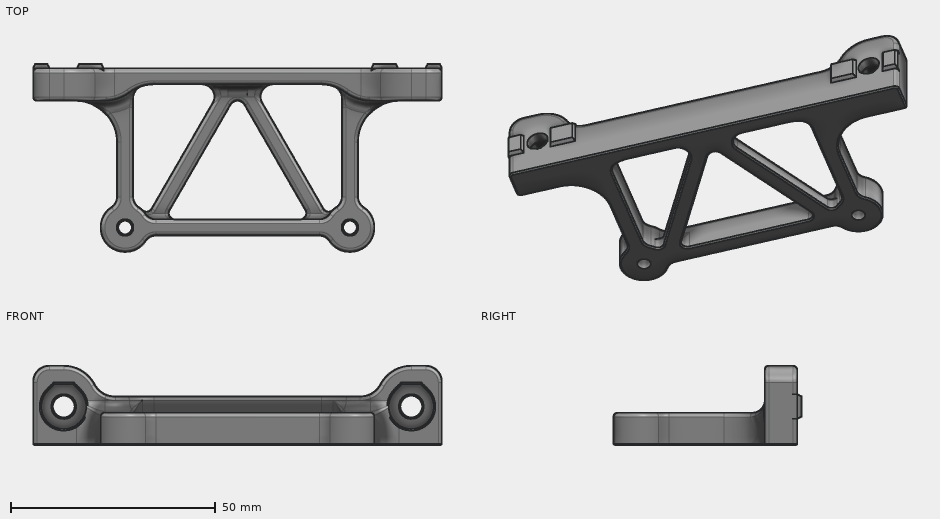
import cadquery as cq
import math

half_length = 50.0
beam_height = 12.0
beam_depth = 4.0
frame_height = 8.0
strut_height = 4.0
member_width = 4.0
half_member = member_width / 2
corner_reach = 0.5
high = 30.0

lug_height = 19.5
lug_depth = 8.0
lug_corner_radius = 4.0
lug_shoulder_radius = 8.5
lug_foot_radius = 5.5
lug_hole_x = 42.5
lug_hole_z = 9.5
lug_hole_diameter = 5.3
head_pocket_radius = 5.5
head_pocket_depth = 5.0
depth_step_radius = 10.0
depth_step_end_x = 20.5
depth_step_turn = math.acos(1 - (lug_depth - beam_depth) / (2 * depth_step_radius))
depth_step_run = depth_step_radius * math.sin(depth_step_turn)

boss_x = 27.5
boss_y = -39.0
boss_radius = 6.0
boss_hole_diameter = 3.3
boss_blend_radius = 3.0
leg_flare_radius = 10.0
leg_inner_x = boss_x - half_member
leg_outer_x = boss_x + half_member
bar_inner_y = boss_y + half_member
window_corner_radius = 3.0

strut_angle = math.radians(60)
strut_apex_y = -beam_depth / 2
strut_apex_radius = 2.0
strut_toe_radius = 1.5

key_spans = ((50.0, 46.0), (39.25, 32.75))
key_root_height = 6.0
key_rise = 1.0
key_draft_inset = 0.5

blend_radius = 3.0
edge_radius = 1.0
wall_front_radius = 0.95
strut_edge_radius = 0.95
back_edge_radius = 1.2
base_chamfer = 0.4
hole_chamfer = 0.4


def both_sides(half):
    """Join a solid to its mirror image across x = 0."""
    return half.union(half.mirror("YZ"))


def plan_box(x_min, x_max, y_min, y_max, height):
    """Rectangular block standing on the underside plane."""
    block = cq.Workplane("XY").box(x_max - x_min, y_max - y_min, height, centered=False)
    return block.translate((x_min, y_min, 0))


def wall_elevation():
    """Beam with its raised lugs, as seen along Y, extruded to the lug depth."""
    rise = lug_height - beam_height
    sum_of_radii = lug_shoulder_radius + lug_foot_radius
    turn = math.acos(1 - rise / sum_of_radii)

    shoulder_start = -lug_hole_x
    inflection_x = shoulder_start + lug_shoulder_radius * math.sin(turn)
    inflection_z = lug_height - lug_shoulder_radius * (1 - math.cos(turn))
    foot_end = shoulder_start + sum_of_radii * math.sin(turn)

    shoulder_mid = (
        shoulder_start + lug_shoulder_radius * math.sin(turn / 2),
        lug_height - lug_shoulder_radius * (1 - math.cos(turn / 2)),
    )
    foot_mid = (
        foot_end - lug_foot_radius * math.sin(turn / 2),
        beam_height + lug_foot_radius * (1 - math.cos(turn / 2)),
    )
    corner_inset = lug_corner_radius * (1 - math.sqrt(0.5))
    half = (
        cq.Workplane("XZ")
        .moveTo(0, 0)
        .lineTo(-half_length, 0)
        .lineTo(-half_length, lug_height - lug_corner_radius)
        .threePointArc(
            (-half_length + corner_inset, lug_height - corner_inset),
            (-half_length + lug_corner_radius, lug_height),
        )
        .lineTo(shoulder_start, lug_height)
        .threePointArc(shoulder_mid, (inflection_x, inflection_z))
        .threePointArc(foot_mid, (foot_end, beam_height))
        .lineTo(0, beam_height)
        .close()
        .extrude(lug_depth)
    )
    return both_sides(half)


def wall_front_y(x):
    """Front face of the wall at distance x from the middle, on the step between lug and beam."""
    lug_end_x = depth_step_end_x + 2 * depth_step_run
    if x < depth_step_end_x + depth_step_run:
        along = x - depth_step_end_x
        return -beam_depth - depth_step_radius + math.sqrt(depth_step_radius**2 - along**2)
    along = lug_end_x - x
    return -lug_depth + depth_step_radius - math.sqrt(depth_step_radius**2 - along**2)


def wall_plan():
    """Beam outline seen from above: deep lugs easing into the thinner beam."""
    half_run = depth_step_radius * math.sin(depth_step_turn / 2)
    sag = depth_step_radius * (1 - math.cos(depth_step_turn / 2))
    inflection_x = -depth_step_end_x - depth_step_run
    inflection_y = -(lug_depth + beam_depth) / 2
    start_x = inflection_x - depth_step_run
    half = (
        cq.Workplane("XY")
        .moveTo(0, 0)
        .lineTo(-half_length, 0)
        .lineTo(-half_length, -lug_depth)
        .lineTo(start_x, -lug_depth)
        .threePointArc((start_x + half_run, -lug_depth + sag), (inflection_x, inflection_y))
        .threePointArc((-depth_step_end_x - half_run, -beam_depth - sag), (-depth_step_end_x, -beam_depth))
        .lineTo(0, -beam_depth)
        .close()
        .extrude(high)
    )
    return both_sides(half)


def near(x, y, z, reach):
    """Selector for features whose centre lies within reach of a point."""
    return cq.selectors.BoxSelector((x - reach, y - reach, z - reach), (x + reach, y + reach, z + reach))


def round_corner(plate, x, y, radius):
    """Round the upright corner edge of a plan plate at (x, y) and at its mirror image."""
    for side in (-1, 1):
        corner = near(side * x, y, high / 2, corner_reach)
        plate = plate.edges("|Z").edges(corner).fillet(radius)
    return plate


def strut_bars():
    """Both diagonal struts as square-ended bars, from the beam down into the front bar."""
    length = (strut_apex_y - boss_y) / math.sin(strut_angle)
    strut = cq.Workplane("XY").box(length, member_width, high, centered=(False, True, False))
    strut = strut.rotate((0, 0, 0), (0, 0, 1), -math.degrees(strut_angle))
    strut = strut.translate((0, strut_apex_y, 0))
    window = plan_box(-leg_inner_x, leg_inner_x, boss_y, strut_apex_y, high)
    return both_sides(strut).intersect(window)


def strut_boss_corner():
    """Point, on the +X side, where the outer flank of a strut meets the boss."""
    reach_x = boss_x - (strut_apex_y - boss_y) / math.tan(strut_angle)
    flank_distance = reach_x * math.sin(strut_angle) - half_member
    chord = math.sqrt(boss_radius**2 - flank_distance**2)
    x = boss_x - flank_distance * math.sin(strut_angle) - chord * math.cos(strut_angle)
    y = boss_y - flank_distance * math.cos(strut_angle) + chord * math.sin(strut_angle)
    return x, y


def plan_outline(with_struts):
    """Tall plate with the outline of legs, bosses and bar, joined by the struts or by the beam."""
    bar = plan_box(-boss_x, boss_x, bar_inner_y - member_width, bar_inner_y, high)
    leg = plan_box(-leg_outer_x, -leg_inner_x, boss_y, -beam_depth / 2, high)
    boss = cq.Workplane("XY").center(-boss_x, boss_y).circle(boss_radius).extrude(high)
    plate = bar.union(both_sides(leg.union(boss)))
    if with_struts:
        plate = plate.union(strut_bars())

    neck = math.sqrt(boss_radius**2 - half_member**2)
    plate = round_corner(plate, leg_outer_x, boss_y + neck, boss_blend_radius)
    plate = round_corner(plate, leg_inner_x, boss_y + neck, boss_blend_radius)
    plate = round_corner(plate, boss_x - neck, boss_y - half_member, boss_blend_radius)
    if not with_struts:
        plate = round_corner(plate, boss_x - neck, bar_inner_y, boss_blend_radius)

    if with_struts:
        return round_strut_corners(plate)

    plate = plate.union(wall_plan())
    plate = round_corner(plate, leg_outer_x, wall_front_y(leg_outer_x), leg_flare_radius)
    return round_corner(plate, leg_inner_x, wall_front_y(leg_inner_x), window_corner_radius)


def round_strut_corners(plate):
    """Round the window corners made by the flanks of the struts."""
    flank_shift = half_member / math.sin(strut_angle)
    slope = math.tan(strut_angle)
    toe_x = (strut_apex_y - bar_inner_y) / slope - flank_shift
    apex_y = strut_apex_y - half_member / math.cos(strut_angle)
    boss_corner_x, boss_corner_y = strut_boss_corner()

    plate = round_corner(plate, toe_x, bar_inner_y, strut_toe_radius)
    plate = round_corner(plate, boss_corner_x, boss_corner_y, strut_toe_radius)
    return plate.edges("|Z").edges(near(0, apex_y, high / 2, corner_reach)).fillet(strut_apex_radius)


def round_wall(wall):
    """Round the exposed edges of the wall: all around the back, top and ends at the front."""
    wall = wall.faces(">Y").edges("not <Z").fillet(back_edge_radius)
    front_top = near(0, -beam_depth, beam_height, corner_reach)
    return wall.edges(front_top).fillet(wall_front_radius)


def make_frame():
    """Wall, legs, bosses and front bar, with coves where the frame top meets the wall."""
    wall = round_wall(wall_elevation().intersect(wall_plan()))
    slab_end = leg_outer_x + leg_flare_radius + blend_radius
    slab = plan_box(-slab_end, slab_end, boss_y - boss_radius, -half_member, frame_height)
    stock = wall.union(slab)
    foot = cq.selectors.BoxSelector(
        (-high * 2, -lug_depth - corner_reach, frame_height - corner_reach),
        (high * 2, -beam_depth + corner_reach, frame_height + corner_reach),
    )
    stock = stock.edges(foot).fillet(blend_radius)
    frame = stock.intersect(plan_outline(with_struts=False))
    for bar_edge_y in (bar_inner_y, bar_inner_y - member_width):
        frame = frame.edges(near(0, bar_edge_y, frame_height, corner_reach)).fillet(edge_radius)
    return frame


def make_struts():
    """Low struts with rounded top edges and a cove rising against the front bar."""
    web = plan_box(-leg_outer_x, leg_outer_x, boss_y, strut_apex_y, strut_height)
    bar = plan_box(-half_length, half_length, boss_y, bar_inner_y, frame_height - edge_radius)
    stock = web.union(bar)
    stock = stock.edges(near(0, bar_inner_y, strut_height, corner_reach)).fillet(strut_toe_radius)
    struts = stock.intersect(plan_outline(with_struts=True))

    apex_y = strut_apex_y - half_member / math.cos(strut_angle) - strut_apex_radius
    struts = struts.edges(near(0, apex_y, strut_height, corner_reach)).fillet(strut_edge_radius)
    neck_end = math.sqrt((boss_radius + boss_blend_radius) ** 2 - (half_member + boss_blend_radius) ** 2)
    leg_mid_y = (boss_y + neck_end + strut_apex_y) / 2
    for side in (-1, 1):
        leg_edge = near(side * leg_inner_x, leg_mid_y, strut_height, corner_reach)
        struts = struts.edges(leg_edge).fillet(strut_edge_radius)
    return struts


def pocket_outline(radius, y):
    """Teardrop wire: a circle with a 45 degree roof cut flat at the height of the circle."""
    tangent = radius * math.sqrt(0.5)
    roof_half_width = radius * (math.sqrt(2) - 1)
    return (
        cq.Workplane("XZ", origin=(lug_hole_x, y, lug_hole_z))
        .moveTo(-tangent, tangent)
        .threePointArc((0, -radius), (tangent, tangent))
        .lineTo(roof_half_width, radius)
        .lineTo(-roof_half_width, radius)
        .close()
    )


def lug_bore():
    """Screw hole with its head pocket, both with chamfered mouths, for the +X lug."""
    floor_y = head_pocket_depth - lug_depth
    hole_radius = lug_hole_diameter / 2
    hole = cq.Workplane("XZ", origin=(lug_hole_x, 0, lug_hole_z)).circle(hole_radius).extrude(lug_depth)
    pocket = pocket_outline(head_pocket_radius, floor_y).extrude(lug_depth + leg_flare_radius)
    pocket_mouth = (
        pocket_outline(head_pocket_radius + hole_chamfer, -lug_depth)
        .extrude(-hole_chamfer, taper=45)
    )
    hole_mouth = (
        cq.Workplane("XZ", origin=(lug_hole_x, floor_y, lug_hole_z))
        .circle(hole_radius + hole_chamfer)
        .extrude(-hole_chamfer, taper=45)
    )
    return hole.union(pocket).union(pocket_mouth).union(hole_mouth)


def boss_bore():
    """Screw hole through the +X boss with a chamfered top."""
    hole_radius = boss_hole_diameter / 2
    mouth = (
        cq.Workplane("XY", origin=(boss_x, boss_y, frame_height))
        .circle(hole_radius + hole_chamfer)
        .extrude(-hole_chamfer, taper=45)
    )
    hole = cq.Workplane("XY").center(boss_x, boss_y).circle(hole_radius).extrude(frame_height)
    return hole.union(mouth)


def back_keys():
    """Two drafted keys standing on the back face of the -X lug."""
    draft = math.degrees(math.atan(key_draft_inset / key_rise))
    keys = cq.Workplane("XY")
    for outer_x, inner_x in key_spans:
        width = outer_x - inner_x
        origin = (-(outer_x + inner_x) / 2, 0, lug_hole_z)
        section = cq.Sketch().rect(width, key_root_height)
        root = cq.Workplane("XZ", origin=origin).placeSketch(section)
        keys = keys.union(root.extrude(back_edge_radius))
        keys = keys.union(root.extrude(-key_rise, taper=draft))
    return keys


def blend_strut_heads(body):
    """Cove the joint of the two strut heads with the beam, over the top and down both flanks."""
    flank_shift = half_member / math.sin(strut_angle)
    half_width = (beam_depth + strut_apex_y) / math.tan(strut_angle) + flank_shift + corner_reach
    joint = cq.selectors.BoxSelector(
        (-half_width, -beam_depth - corner_reach, corner_reach),
        (half_width, -beam_depth + corner_reach, strut_height + corner_reach),
    )
    return body.edges(joint).fillet(blend_radius)


bracket = blend_strut_heads(make_frame().union(make_struts()))
bracket = bracket.faces("<Z").edges().chamfer(base_chamfer)
bracket = bracket.union(both_sides(back_keys()))
result = bracket.cut(both_sides(lug_bore().union(boss_bore())))